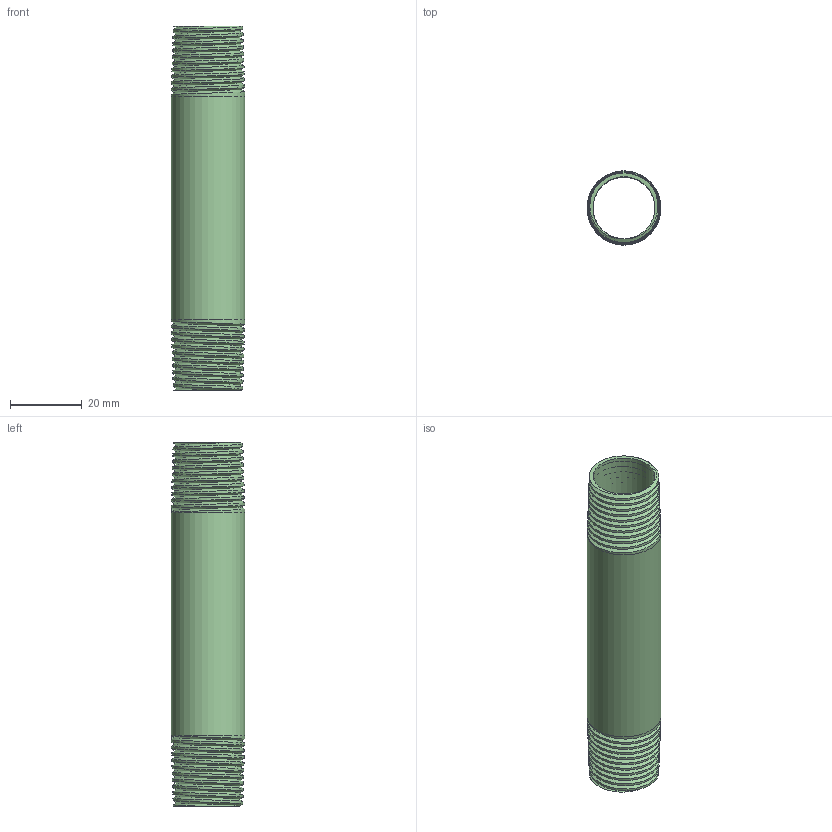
import cadquery as cq
import math

length = 101.6
outer_radius = 20.65 / 2
bore_radius = 8.65

threads_per_inch = 14
pitch = 25.4 / threads_per_inch
thread_length = 19.7
taper = 1 / 32
groove_depth = 1.0
flank_angle = 30.0
groove_overrun = 0.1
groove_start_offset = 0.65
groove_start_angle = 90

half_length = length / 2
thread_base = half_length - thread_length
end_radius = outer_radius - thread_length * taper


def tapered_blank():
    """Solid bar with a cone at each end."""
    outline = [
        (0, -half_length),
        (end_radius, -half_length),
        (outer_radius, -thread_base),
        (outer_radius, thread_base),
        (end_radius, half_length),
        (0, half_length),
    ]
    return cq.Workplane("YZ").polyline(outline).close().revolve(360, (0, 0), (0, 1))


def thread_groove():
    """Right-hand V-shaped cutter winding up the upper cone, out past the end face."""
    start_z = thread_base + groove_start_offset
    start_radius = outer_radius - groove_start_offset * taper
    climb = half_length + pitch - start_z
    cone_angle = -math.degrees(math.atan(taper))
    mouth_radius = start_radius + groove_overrun
    mouth_half_width = (groove_depth + groove_overrun) * math.tan(math.radians(flank_angle))

    def edge_helix(radius, z_shift):
        helix = cq.Wire.makeHelix(pitch, climb, radius, angle=cone_angle)
        return helix.translate(cq.Vector(0, 0, z_shift))

    helices = [
        edge_helix(start_radius - groove_depth, 0),
        edge_helix(mouth_radius, -mouth_half_width),
        edge_helix(mouth_radius, mouth_half_width),
    ]
    faces = []
    for i, helix in enumerate(helices):
        faces += cq.Face.makeRuledSurface(helices[i - 1], helix).Faces()
    start_corners = [helix.startPoint() for helix in helices]
    end_corners = [helix.endPoint() for helix in helices]
    for corners in (start_corners, end_corners):
        faces.append(cq.Face.makeFromWires(cq.Wire.makePolygon(corners, close=True)))

    cutter = cq.Workplane(cq.Solid.makeSolid(cq.Shell.makeShell(faces)))
    return cutter.rotate((0, 0, 0), (0, 0, 1), groove_start_angle).translate((0, 0, start_z))


upper_groove = thread_groove()
lower_groove = upper_groove.mirror("XY")
bore = cq.Workplane("XY").circle(bore_radius).extrude(half_length, both=True)

result = tapered_blank().cut(upper_groove).cut(lower_groove).cut(bore)